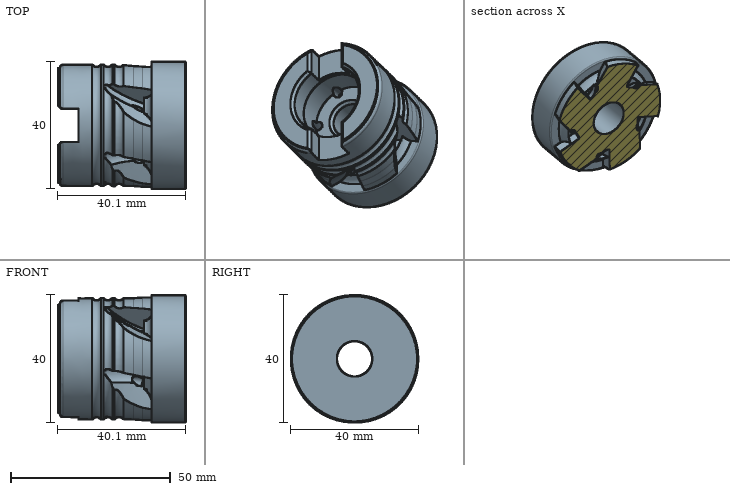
import cadquery as cq
import math


TOTAL_LENGTH = 40.05
DRIVE_FACE_RADIUS = 17.95
DRIVE_LIP_RADIUS = 18.1
DRIVE_LIP_LENGTH = 0.5
NOSE_END = 1.57
NOSE_RADIUS = 19.0
CREST_RADIUS = 19.07
NECK_START_RADIUS = 18.97
NECK_MIDDLE_START = 23.6
NECK_MIDDLE_END = 26.45
NECK_MIDDLE_RADIUS = 19.05
NECK_END_RADIUS = 19.25
FLANGE_START = 29.2
FLANGE_RADIUS = 20.0
FLANGE_EDGE = 0.4

GROOVE_START = 10.65
GROOVE_WIDTH = 2.8
GROOVE_DEPTH = 0.72
GROOVE_PITCH = 3.49
GROOVE_COUNT = 3

BORE_RADIUS = 11.1
BORE_STEP_START = 7.6
BORE_STEP_RADIUS = 11.05
BORE_FLOOR = 16.7
THROUGH_RADIUS = 5.5
BORE_CHAMFER = 1.0

SLOT_WIDTH = 10.4
SLOT_DEPTH = 6.3
SLOT_CHAMFER = 1.0

POCKET_COUNT = 5
POCKET_PITCH = 360 / POCKET_COUNT
FIRST_POCKET_ANGLE = 34.24
CUTTER_CENTRE = (33.99, -1.78, 38.57)
CUTTER_TILT = 11.37
CUTTER_RADIUS = 28.0
CUTTER_RIM_RADIUS = 27.7
CUTTER_RIM_WIDTH = 3.93
CUTTER_SHOULDER_RADIUS = 26.2
CUTTER_TAPER = 19.4
CUTTER_WIDTH = 17.0

LIP_START = 26.8
LIP_RADIUS = 14.75
LIP_MIDDLE = (28.2, 15.45)
LIP_END_RADIUS = 16.8

HOLE_RADIUS = 1.45
HOLE_FLOOR_RADIUS = 10.5
HOLE_FLOOR_ANGLE = -1.6
HOLE_POCKET_X = 26.2
HOLE_POCKET_RADIUS = 13.9
HOLE_POCKET_ANGLE = -5.0
HOLE_OVERRUN = 3.0


def turned(profile):
    """Revolve a closed XY profile about the X axis."""
    return profile.close().revolve(360, (0, 0, 0), (1, 0, 0))


def make_body():
    nose_run = NOSE_END - DRIVE_LIP_LENGTH
    nose_rise = NOSE_RADIUS - DRIVE_LIP_RADIUS
    nose_middle = (
        DRIVE_LIP_LENGTH + nose_run * (1 - math.cos(math.pi / 4)),
        DRIVE_LIP_RADIUS + nose_rise * math.sin(math.pi / 4),
    )
    profile = (
        cq.Workplane("XY")
        .moveTo(0, 0)
        .lineTo(0, DRIVE_FACE_RADIUS)
        .lineTo(DRIVE_LIP_LENGTH, DRIVE_LIP_RADIUS)
        .threePointArc(nose_middle, (NOSE_END, NOSE_RADIUS))
    )
    for index in range(GROOVE_COUNT):
        start = GROOVE_START + index * GROOVE_PITCH
        end = start + GROOVE_WIDTH
        end_radius = CREST_RADIUS if index < GROOVE_COUNT - 1 else NECK_START_RADIUS
        bottom = ((start + end) / 2, CREST_RADIUS - GROOVE_DEPTH)
        profile = profile.lineTo(start, CREST_RADIUS).threePointArc(bottom, (end, end_radius))
    profile = (
        profile.lineTo(NECK_MIDDLE_START, NECK_MIDDLE_RADIUS)
        .lineTo(NECK_MIDDLE_END, NECK_END_RADIUS)
        .lineTo(FLANGE_START, NECK_END_RADIUS)
        .lineTo(FLANGE_START, FLANGE_RADIUS - FLANGE_EDGE)
        .tangentArcPoint((FLANGE_EDGE, FLANGE_EDGE), relative=True)
        .lineTo(TOTAL_LENGTH - FLANGE_EDGE, FLANGE_RADIUS)
        .lineTo(TOTAL_LENGTH, FLANGE_RADIUS - FLANGE_EDGE)
        .lineTo(TOTAL_LENGTH, 0)
    )
    return turned(profile)


def make_bore():
    return turned(
        cq.Workplane("XY")
        .moveTo(0, 0)
        .lineTo(0, BORE_RADIUS + BORE_CHAMFER)
        .lineTo(BORE_CHAMFER, BORE_RADIUS)
        .lineTo(BORE_STEP_START, BORE_RADIUS)
        .lineTo(BORE_STEP_START, BORE_STEP_RADIUS)
        .lineTo(BORE_FLOOR, BORE_STEP_RADIUS)
        .lineTo(BORE_FLOOR, THROUGH_RADIUS + BORE_CHAMFER)
        .lineTo(BORE_FLOOR + BORE_CHAMFER, THROUGH_RADIUS)
        .lineTo(TOTAL_LENGTH, THROUGH_RADIUS)
        .lineTo(TOTAL_LENGTH, 0)
    )


def make_slot():
    """Slot along Z with chamfered edges at the drive face."""
    half = SLOT_WIDTH / 2
    return (
        cq.Workplane("XY")
        .moveTo(0, half + SLOT_CHAMFER)
        .lineTo(SLOT_CHAMFER, half)
        .lineTo(SLOT_DEPTH, half)
        .lineTo(SLOT_DEPTH, -half)
        .lineTo(SLOT_CHAMFER, -half)
        .lineTo(0, -half - SLOT_CHAMFER)
        .close()
        .extrude(FLANGE_RADIUS, both=True)
    )


def make_pocket_end():
    """Region the pockets never enter: the overhanging lip and everything from the flange on."""
    return turned(
        cq.Workplane("XY")
        .moveTo(FLANGE_START, 0)
        .lineTo(FLANGE_START, LIP_RADIUS)
        .lineTo(LIP_START, LIP_RADIUS)
        .threePointArc(LIP_MIDDLE, (FLANGE_START, LIP_END_RADIUS))
        .lineTo(FLANGE_START, 2 * CUTTER_RADIUS)
        .lineTo(2 * TOTAL_LENGTH, 2 * CUTTER_RADIUS)
        .lineTo(2 * TOTAL_LENGTH, 0)
    )


def make_pocket_cutter():
    """Disc cutter whose flat side makes the pocket wall and whose tapered rim makes its floor."""
    taper_width = CUTTER_WIDTH - CUTTER_RIM_WIDTH
    small_radius = CUTTER_SHOULDER_RADIUS - taper_width * math.tan(math.radians(CUTTER_TAPER))
    rim_middle = (CUTTER_RIM_RADIUS, -CUTTER_RIM_WIDTH / 2)
    disc = (
        cq.Workplane("XY")
        .lineTo(CUTTER_RADIUS, 0)
        .threePointArc(rim_middle, (CUTTER_SHOULDER_RADIUS, -CUTTER_RIM_WIDTH))
        .lineTo(small_radius, -CUTTER_WIDTH)
        .lineTo(0, -CUTTER_WIDTH)
        .close()
        .revolve(360, (0, 0, 0), (0, 1, 0))
    )
    return disc.rotate((0, 0, 0), (0, 0, 1), -CUTTER_TILT).translate(CUTTER_CENTRE)


def polar_point(x, radius, angle):
    return cq.Vector(
        x,
        radius * math.cos(math.radians(angle)),
        radius * math.sin(math.radians(angle)),
    )


def make_coolant_hole():
    """Oblique hole that starts in the open bore and ends inside the pocket, short of the lip."""
    floor_point = polar_point(BORE_FLOOR, HOLE_FLOOR_RADIUS, HOLE_FLOOR_ANGLE)
    pocket_point = polar_point(HOLE_POCKET_X, HOLE_POCKET_RADIUS, HOLE_POCKET_ANGLE)
    direction = (pocket_point - floor_point).normalized()
    start = floor_point - direction * HOLE_OVERRUN
    length = (pocket_point - floor_point).Length + HOLE_OVERRUN
    return cq.Workplane(cq.Solid.makeCylinder(HOLE_RADIUS, length, start, direction))


def around_axis(shape, angle):
    return shape.rotate((0, 0, 0), (1, 0, 0), angle)


result = make_body().cut(make_bore()).cut(make_slot())

pocket = around_axis(make_pocket_cutter(), FIRST_POCKET_ANGLE).cut(make_pocket_end())
coolant_hole = make_coolant_hole()
for index in range(POCKET_COUNT):
    turn = index * POCKET_PITCH
    result = result.cut(around_axis(pocket, turn)).cut(around_axis(coolant_hole, turn))